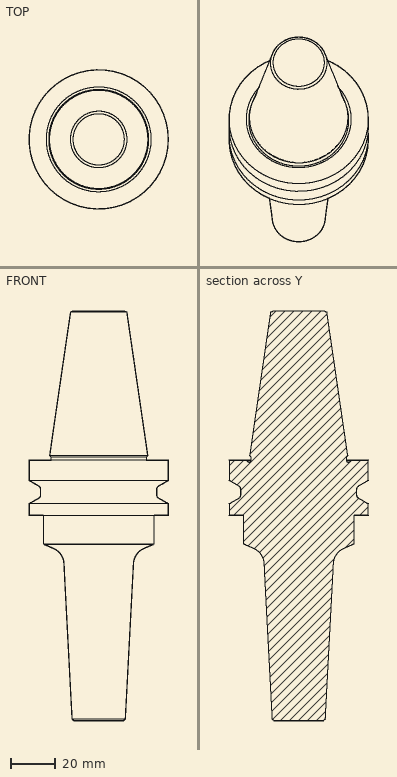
import cadquery as cq
import math

total_length = 185.4
cone_length = 65.5
cone_gauge_radius = 22.2
cone_slope = 7 / 48
cone_top_chamfer_width = 1.1
cone_top_chamfer_height = 0.5

neck_radius = 21.7
neck_step = 0.5
flange_top = -2.0
undercut_depth = 1.0
undercut_radius = 23.7

flange_radius = 31.5
flange_height = 25.0
groove_radius = 26.3
groove_center = -16.5
groove_floor_height = 4.5
groove_side_angle = math.radians(30)
groove_fillet = 1.3

boss_radius = 25.0
boss_chamfer = 0.4
shoulder_angle = math.radians(23)
shoulder_fillet = 7.8
shank_top = -48.8
shank_tip_radius = 12.0
shank_angle = math.radians(3)
tip_chamfer_width = 1.0
tip_chamfer_height = 0.7

shank_bottom = cone_length - total_length
flange_bottom = flange_top - flange_height
cone_top_radius = cone_gauge_radius - cone_length * cone_slope
groove_floor_top = groove_center + groove_floor_height / 2
groove_floor_bottom = groove_center - groove_floor_height / 2
groove_side_height = (flange_radius - groove_radius) * math.tan(groove_side_angle)


def shank_radius(z):
    """Radius of the tapered shank at height z."""
    return shank_tip_radius + (z - shank_bottom) * math.tan(shank_angle)


shoulder_normal = math.pi / 2 - shoulder_angle
fillet_center_r = shank_radius(shank_top) + shoulder_fillet * math.cos(shank_angle)
fillet_center_z = shank_top - shoulder_fillet * math.sin(shank_angle)


def shoulder_fillet_point(normal_angle):
    """Point of the concave shoulder fillet where the surface normal has the given angle."""
    r = fillet_center_r - shoulder_fillet * math.cos(normal_angle)
    z = fillet_center_z + shoulder_fillet * math.sin(normal_angle)
    return r, z


shoulder_inner = shoulder_fillet_point(shoulder_normal)
shoulder_mid = shoulder_fillet_point((shank_angle + shoulder_normal) / 2)
shoulder_outer_radius = boss_radius - boss_chamfer
shoulder_outer_z = shoulder_inner[1] + (shoulder_outer_radius - shoulder_inner[0]) * math.tan(shoulder_angle)

undercut_floor = flange_top - undercut_depth
undercut_round_mid = (
    neck_radius + undercut_depth * (1 - math.sqrt(0.5)),
    flange_top - undercut_depth * math.sqrt(0.5),
)

profile = (
    cq.Workplane("XZ")
    .moveTo(0, shank_bottom)
    .lineTo(shank_tip_radius - tip_chamfer_width, shank_bottom)
    .lineTo(shank_radius(shank_bottom + tip_chamfer_height), shank_bottom + tip_chamfer_height)
    .lineTo(shank_radius(shank_top), shank_top)
    .threePointArc(shoulder_mid, shoulder_inner)
    .lineTo(shoulder_outer_radius, shoulder_outer_z)
    .lineTo(boss_radius, shoulder_outer_z + boss_chamfer)
    .lineTo(boss_radius, flange_bottom)
    .lineTo(flange_radius, flange_bottom)
    .lineTo(flange_radius, groove_floor_bottom - groove_side_height)
    .lineTo(groove_radius, groove_floor_bottom)
    .lineTo(groove_radius, groove_floor_top)
    .lineTo(flange_radius, groove_floor_top + groove_side_height)
    .lineTo(flange_radius, flange_top)
    .lineTo(undercut_radius, flange_top)
    .lineTo(neck_radius + undercut_depth, undercut_floor)
    .threePointArc(undercut_round_mid, (neck_radius, flange_top))
    .lineTo(neck_radius, -neck_step)
    .lineTo(cone_gauge_radius, 0)
    .lineTo(cone_top_radius + cone_top_chamfer_height * cone_slope, cone_length - cone_top_chamfer_height)
    .lineTo(cone_top_radius - cone_top_chamfer_width, cone_length)
    .lineTo(0, cone_length)
    .close()
)

body = profile.revolve(360, (0, 0, 0), (0, 1, 0))


def groove_corner(z):
    """Selector for the circular corner of the gripper groove floor at height z."""
    tolerance = 0.1
    reach = flange_radius + 1.9
    return cq.selectors.BoxSelector(
        (-reach, -reach, z - tolerance),
        (reach, reach, z + tolerance),
    )


result = (
    body.edges("%CIRCLE")
    .edges(groove_corner(groove_floor_top) + groove_corner(groove_floor_bottom))
    .fillet(groove_fillet)
)